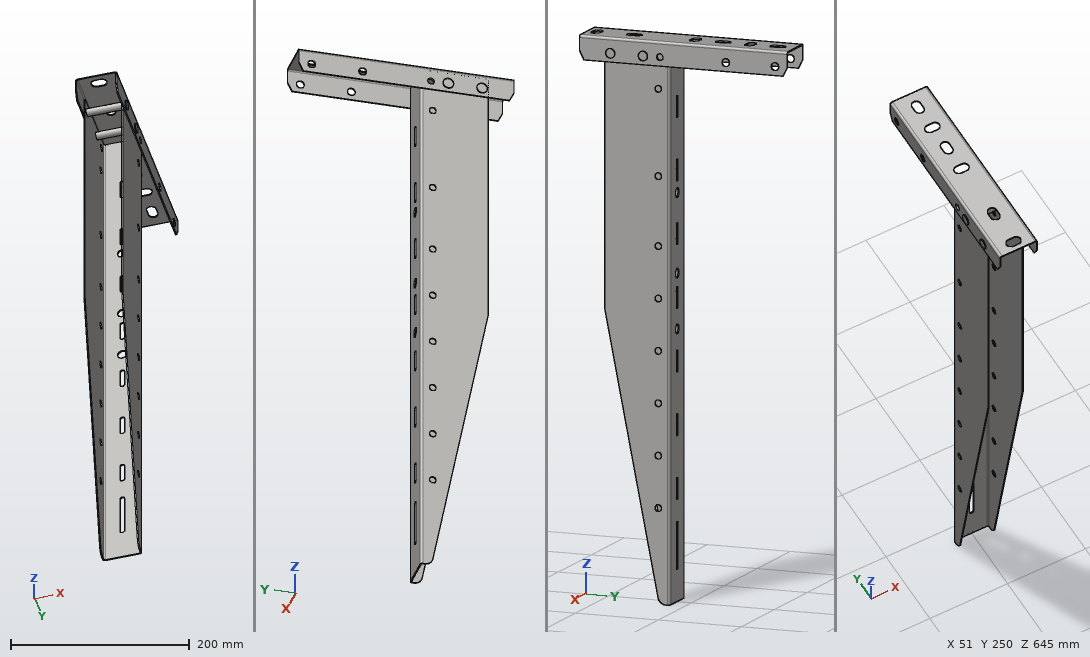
import cadquery as cq

sheet = 1.5
bend_outer_radius = 2.95
bend_inner_radius = bend_outer_radius - sheet

total_height = 645
arm_length = 250.0
arm_width = 48.5
arm_depth = 28.5
arm_corner_run = 5.0
arm_corner_rise = 10.0

upright_width = arm_width - 2 * sheet
upright_depth = 79.0
upright_back = -17.0
upright_front = upright_back - upright_depth
upright_top = 640.5
taper_start_height = 334.0
foot_depth = 13.0
foot_corner_radius = 9.5

arm_slot_length = 18.0
arm_slot_width = 11.0
lengthwise_slot_places = (104.5, 39.0, -68.5)
crosswise_slot_places = (71.5, 5.0, -113.5)

side_hole_height = total_height - 18.0
arm_hole_diameter = 9.0
arm_hole_places = (110.0, 51.0)
locating_hole_diameter = 8.0
locating_hole_place = -28.5
bolt_places = (-48.5, -88.0)
bolt_diameter = 9.0
head_diameter = 12.0
nut_diameter = 11.0
overall_width = 51.0
head_thickness = (overall_width - arm_width) / 2

flange_hole_diameter = 8.0
flange_hole_y = upright_back - 14.0
flange_hole_top = 590.0
flange_hole_gaps = (100.0, 80.0, 60.0, 60.0, 60.0, 60.0, 60.0)

web_slot_width = 5.2
web_slot_length = 25.0
web_slot_top = 567.0
web_slot_pitch = 73.0
web_slot_count = 7
long_slot_length = 55.0
long_slot_height = 64.5
web_hole_diameter = 11.0
web_hole_heights = (468.0, 376.0, 312.0)


def bar_along_x(diameter, x_start, x_end, y, z):
    """Round bar parallel to X."""
    circle = cq.Workplane("YZ", origin=(x_start, y, z)).circle(diameter / 2)
    return circle.extrude(x_end - x_start)


def hole_through_sides(diameter, y, z):
    return bar_along_x(diameter, -overall_width, overall_width, y, z)


def make_arm():
    """Channel open downwards, with its lower end corners cut off."""
    bottom = total_height - arm_depth
    half = arm_length / 2
    arm = (
        cq.Workplane("XY", origin=(0, 0, bottom))
        .box(arm_width, arm_length, arm_depth, centered=(True, True, False))
        .edges("|Y and >Z")
        .fillet(bend_outer_radius)
    )
    inside = (
        cq.Workplane("XY", origin=(0, 0, bottom))
        .box(arm_width - 2 * sheet, arm_length, arm_depth - sheet, centered=(True, True, False))
        .edges("|Y and >Z")
        .fillet(bend_inner_radius)
    )
    side_outline = (
        cq.Workplane("YZ")
        .moveTo(-half, total_height)
        .lineTo(half, total_height)
        .lineTo(half, bottom + arm_corner_rise)
        .lineTo(half - arm_corner_run, bottom)
        .lineTo(-half + arm_corner_run, bottom)
        .lineTo(-half, bottom + arm_corner_rise)
        .close()
        .extrude(arm_width / 2, both=True)
    )
    arm = arm.cut(inside).intersect(side_outline)

    top = cq.Workplane("XY", origin=(0, 0, total_height))
    for places, angle in ((lengthwise_slot_places, 90), (crosswise_slot_places, 0)):
        slots = top.pushPoints([(0, y) for y in places]).slot2D(arm_slot_length, arm_slot_width, angle)
        arm = arm.cut(slots.extrude(-2 * sheet))
    for y in arm_hole_places:
        arm = arm.cut(hole_through_sides(arm_hole_diameter, y, side_hole_height))
    return arm


def make_upright():
    """Channel open towards -Y, whose flanges taper to a rounded foot."""
    middle = (upright_front + upright_back) / 2
    upright = (
        cq.Workplane("XY", origin=(0, middle, 0))
        .box(upright_width, upright_depth, upright_top, centered=(True, True, False))
        .edges("|Z and >Y")
        .fillet(bend_outer_radius)
    )
    inside = (
        cq.Workplane("XY", origin=(0, middle - sheet, 0))
        .box(upright_width - 2 * sheet, upright_depth, upright_top, centered=(True, True, False))
        .edges("|Z and >Y")
        .fillet(bend_inner_radius)
    )
    side_outline = (
        cq.Workplane("YZ")
        .moveTo(upright_back, upright_top)
        .lineTo(upright_back, 0)
        .lineTo(upright_back - foot_depth, 0)
        .lineTo(upright_front, taper_start_height)
        .lineTo(upright_front, upright_top)
        .close()
        .extrude(upright_width / 2, both=True)
        .edges(cq.selectors.NearestToPointSelector((0, upright_back - foot_depth, 0)))
        .fillet(foot_corner_radius)
    )
    upright = upright.cut(inside).intersect(side_outline)

    height = flange_hole_top
    upright = upright.cut(hole_through_sides(flange_hole_diameter, flange_hole_y, height))
    for gap in flange_hole_gaps:
        height -= gap
        upright = upright.cut(hole_through_sides(flange_hole_diameter, flange_hole_y, height))

    web = cq.Workplane("XZ", origin=(0, upright_back, 0))
    cut_depth = 2 * sheet
    slot_points = [(0, web_slot_top - i * web_slot_pitch) for i in range(web_slot_count)]
    slots = web.pushPoints(slot_points).slot2D(web_slot_length, web_slot_width, 90).extrude(cut_depth)
    long_slot = web.center(0, long_slot_height).slot2D(long_slot_length, web_slot_width, 90)
    long_slot = long_slot.extrude(cut_depth)
    hole_points = [(0, z) for z in web_hole_heights]
    holes = web.pushPoints(hole_points).circle(web_hole_diameter / 2).extrude(cut_depth)
    for opening in (slots, long_slot, holes):
        upright = upright.cut(opening)
    return upright


def make_bolt(y):
    """Bolt across the bracket, with a round head at -X and a round nut at +X."""
    side = arm_width / 2
    shank = bar_along_x(bolt_diameter, -side, side, y, side_hole_height)
    head = bar_along_x(head_diameter, -side - head_thickness, -side, y, side_hole_height)
    nut = bar_along_x(nut_diameter, side, side + head_thickness, y, side_hole_height)
    return shank.union(head).union(nut)


result = make_arm().union(make_upright())
result = result.cut(hole_through_sides(locating_hole_diameter, locating_hole_place, side_hole_height))
for bolt_place in bolt_places:
    result = result.union(make_bolt(bolt_place))